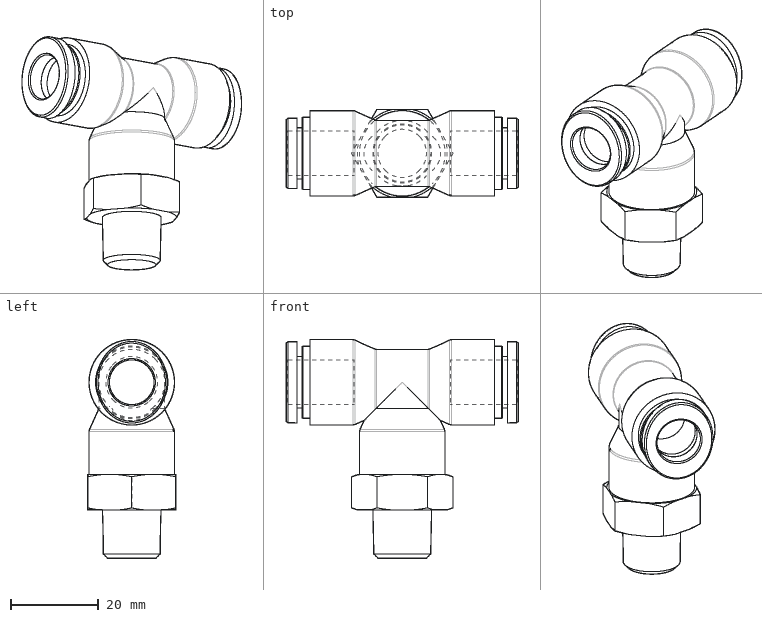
import cadquery as cq
import math


SOCKET_DIAMETER = 19.5
THROAT_DIAMETER = 15.0
ARM_LENGTH = 21.0
SHOULDER_START = 11.0
THROAT_END = 6.0
SHOULDER_ROUND = 1.15
THROAT_ROUND = 0.8
TUBE_BORE_DIAMETER = 10.2
TUBE_STOP = 11.0

COLLAR_DIAMETER = 16.5
COLLAR_LENGTH = 1.8
COLLAR_CHAMFER = 0.2

OVERALL_LENGTH = 52.8
SLEEVE_BORE_DIAMETER = 10.15
SLEEVE_BORE_CHAMFER = 0.3
NECK_DIAMETER = 11.7
BUTTON_THICKNESS = 2.5
BUTTON_HEIGHT = 18.55
BUTTON_WIDTH = 16.05
BUTTON_CHAMFER = 0.35

HEX_SIDES = 6
HEX_ACROSS_FLATS = 20.0
HEX_HEIGHT = 8.0
HEX_CHAMFER_ANGLE = 20
HEX_FACE_DIAMETER = 20.5
THREAD_LENGTH = 11.0
THREAD_TOP_DIAMETER = 13.4
THREAD_BOTTOM_DIAMETER = 13.0
THREAD_CHAMFER = 1.0

COLLAR_FACE = ARM_LENGTH + COLLAR_LENGTH
SLEEVE_FACE = OVERALL_LENGTH / 2
BUTTON_BACK = SLEEVE_FACE - BUTTON_THICKNESS


def x_cylinder(diameter, start, end):
    """Cylinder on the X axis between two X positions."""
    return cq.Workplane("YZ", origin=(start, 0, 0)).circle(diameter / 2).extrude(end - start)


def mirrored_to_left(body):
    return body.mirror("YZ")


def make_arm(throat_round):
    """One arm of the tee along +X: throat, cone and socket cylinder."""
    throat_radius = THROAT_DIAMETER / 2
    socket_radius = SOCKET_DIAMETER / 2
    arm = (
        cq.Workplane("XY")
        .moveTo(0, 0)
        .lineTo(0, throat_radius)
        .lineTo(THROAT_END, throat_radius)
        .lineTo(SHOULDER_START, socket_radius)
        .lineTo(ARM_LENGTH, socket_radius)
        .lineTo(ARM_LENGTH, 0)
        .close()
        .revolve(360, (0, 0, 0), (1, 0, 0))
    )
    arm = arm.edges(cq.selectors.NearestToPointSelector((SHOULDER_START, 0, 0))).fillet(SHOULDER_ROUND)
    if throat_round > 0:
        arm = arm.edges(cq.selectors.NearestToPointSelector((THROAT_END, 0, 0))).fillet(throat_round)
    return arm


def make_housing():
    right_arm = make_arm(THROAT_ROUND)
    branch = make_arm(0).rotate((0, 0, 0), (0, 1, 0), 90)
    bore = x_cylinder(TUBE_BORE_DIAMETER, TUBE_STOP, ARM_LENGTH)
    housing = right_arm.union(mirrored_to_left(right_arm)).union(branch)
    return housing.cut(bore).cut(mirrored_to_left(bore))


def make_collar():
    """Ring against the right end of the run."""
    ring = x_cylinder(COLLAR_DIAMETER, ARM_LENGTH, COLLAR_FACE).faces(">X").chamfer(COLLAR_CHAMFER)
    return ring.cut(x_cylinder(TUBE_BORE_DIAMETER, ARM_LENGTH, COLLAR_FACE))


def make_sleeve():
    """Release sleeve on the right: oval push button on a round neck."""
    button = (
        cq.Workplane("YZ", origin=(BUTTON_BACK, 0, 0))
        .ellipse(BUTTON_WIDTH / 2, BUTTON_HEIGHT / 2)
        .extrude(BUTTON_THICKNESS)
        .faces(">X")
        .chamfer(BUTTON_CHAMFER)
    )
    sleeve = button.union(x_cylinder(NECK_DIAMETER, COLLAR_FACE, BUTTON_BACK))
    sleeve = sleeve.cut(x_cylinder(SLEEVE_BORE_DIAMETER, COLLAR_FACE, SLEEVE_FACE))
    return sleeve.edges(cq.selectors.RadiusNthSelector(0)).edges(">X").chamfer(SLEEVE_BORE_CHAMFER)


def make_hexagon(top):
    """Hexagon with corners on X, its corners turned off at both ends."""
    corner_radius = HEX_ACROSS_FLATS / 2 / math.cos(math.pi / HEX_SIDES)
    face_radius = HEX_FACE_DIAMETER / 2
    corner_drop = (corner_radius - face_radius) * math.tan(math.radians(HEX_CHAMFER_ANGLE))
    bottom = top - HEX_HEIGHT
    prism = (
        cq.Workplane("XY", origin=(0, 0, bottom))
        .polygon(HEX_SIDES, 2 * corner_radius)
        .extrude(HEX_HEIGHT)
    )
    turned_blank = (
        cq.Workplane("XZ")
        .moveTo(0, bottom)
        .lineTo(face_radius, bottom)
        .lineTo(corner_radius, bottom + corner_drop)
        .lineTo(corner_radius, top - corner_drop)
        .lineTo(face_radius, top)
        .lineTo(0, top)
        .close()
        .revolve(360, (0, 0, 0), (0, 1, 0))
    )
    return prism.intersect(turned_blank)


def make_thread(top):
    """Tapered thread blank with a chamfered tip."""
    bottom = top - THREAD_LENGTH
    taper_end_radius = THREAD_BOTTOM_DIAMETER / 2
    return (
        cq.Workplane("XZ")
        .moveTo(0, top)
        .lineTo(THREAD_TOP_DIAMETER / 2, top)
        .lineTo(taper_end_radius, bottom + THREAD_CHAMFER)
        .lineTo(taper_end_radius - THREAD_CHAMFER, bottom)
        .lineTo(0, bottom)
        .close()
        .revolve(360, (0, 0, 0), (0, 1, 0))
    )


def make_stud():
    hex_top = -ARM_LENGTH
    return make_hexagon(hex_top).union(make_thread(hex_top - HEX_HEIGHT))


housing = make_housing()
stud = make_stud()

end_fittings = []
for right_fitting in (make_collar(), make_sleeve()):
    end_fittings.append(right_fitting.val())
    end_fittings.append(mirrored_to_left(right_fitting).val())

result = cq.Compound.makeCompound([housing.val(), stud.val(), *end_fittings])